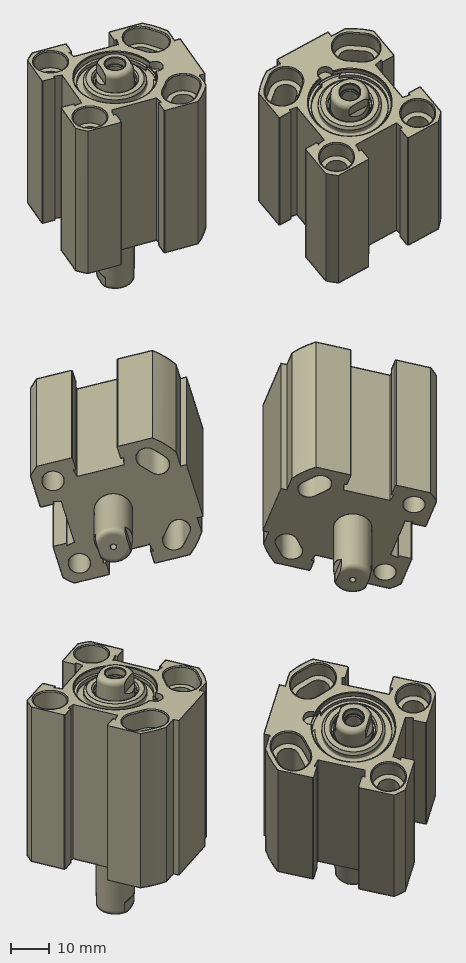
import cadquery as cq
import math

housing_height = 47.0
housing_width = 36.0
housing_depth = 40.0
shoulder_y = 20.4
corner_diameter = 47.65

pad_width = 16.0

slot_floor = 12.3
slot_lip = 14.35
slot_mouth = 6.0
slot_root = 6.3
slot_neck = 6.75
lip_chamfer = 0.2

hole_offset = 12.7
bolt_diameter = 5.8
bolt_recess_diameter = 8.8
bolt_recess_depth = 5.5
edge_chamfer = 0.3
slot_end_angle = 56.3

bore_diameter = 21.6
bore_chamfer = 0.2
ring_top_depth = 1.6
ring_thickness = 1.0
ring_groove_diameter = 22.8
ring_inner_diameter = 20.0
ring_gap_half_angle = 15.0
ring_gap_tilt = 2.4
ring_end_flare = 62.0
pocket_diameter = 4.1
pocket_offset = 11.35
pocket_depth = 2.4

gland_thickness = 7.1
boss_diameter = 16.5
boss_depth = 0.35
boss_chamfer = 0.675
boss_base_fillet = 0.35
gland_recess_diameter = 11.4
gland_recess_depth = 2.85
gland_recess_chamfer = 0.4

seal_depth = 1.4
seal_lip_diameter = 10.5
seal_lip_depth = 0.35

rod_diameter = 10.0
rod_top_projection = 4.5
rod_length = 71.0
rod_end_fillet = 1.35
flat_width = 8.0
flat_length = 3.5
socket_diameter = 5.25
socket_depth = 2.1
socket_chamfer = 0.2
tap_diameter = 4.1
tap_chamfer = 0.3
tap_depth = 9.95
vent_diameter = 1.6
drill_point_half_angle = 59.0

housing_half_width = housing_width / 2
pad_y = housing_depth - housing_half_width
ring_top = housing_height - ring_top_depth
gland_face = ring_top - ring_thickness
pocket_floor = housing_height - pocket_depth
gland_bottom = gland_face - gland_thickness
boss_top = housing_height - boss_depth
rod_top = housing_height + rod_top_projection
rod_bottom = rod_top - rod_length
hole_circle_radius = hole_offset * math.sqrt(2)


def cylinder(diameter, bottom, top, x=0.0, y=0.0):
    return cq.Workplane("XY", origin=(x, y, bottom)).circle(diameter / 2).extrude(top - bottom)


def revolved(profile):
    """Turn a closed (radius, z) profile around the Z axis."""
    return cq.Workplane("XZ").polyline(profile).close().revolve(360, (0, 0, 0), (0, 1, 0))


def chamfer_cone(diameter, size, top, x=0.0, y=0.0):
    """Cone that breaks the upper edge of a hole at 45 degrees."""
    radius = diameter / 2
    cone = revolved([(0, top - size), (radius, top - size), (radius + size, top), (0, top)])
    return cone.translate((x, y, 0))


def side_slot(turn):
    """T-slot along Z in the -Y face, turned around Z to another face."""
    outside = housing_half_width
    half = [
        (slot_root, -slot_floor),
        (slot_neck, -slot_lip),
        (slot_mouth, -slot_lip),
        (slot_mouth, -outside + lip_chamfer),
        (slot_mouth + lip_chamfer, -outside),
    ]
    other_half = [(-x, y) for x, y in reversed(half)]
    slot = cq.Workplane("XY").polyline(half + other_half).close().extrude(housing_height)
    return slot.rotate((0, 0, 0), (0, 0, 1), turn)


def housing_block():
    depth = housing_half_width + shoulder_y
    block = cq.Workplane("XY").box(housing_width, depth, housing_height, centered=(True, False, False))
    block = block.translate((0, -housing_half_width, 0))
    block = block.intersect(cylinder(corner_diameter, 0, housing_height))
    pad = cq.Workplane("XY").box(pad_width, pad_y, housing_height, centered=(True, False, False))
    return block.union(pad)


def round_bolt_hole(side):
    x = side * hole_offset
    y = -hole_offset
    top = housing_height
    return (
        cylinder(bolt_diameter, 0, top, x, y)
        .union(cylinder(bolt_recess_diameter, top - bolt_recess_depth, top, x, y))
        .union(chamfer_cone(bolt_recess_diameter, edge_chamfer, top, x, y))
    )


def obround(diameter, ends, bottom):
    (x1, y1), (x2, y2) = ends
    length = math.hypot(x2 - x1, y2 - y1)
    angle = math.degrees(math.atan2(y2 - y1, x2 - x1))
    middle = ((x1 + x2) / 2, (y1 + y2) / 2, bottom)
    shape = cq.Workplane("XY", origin=middle).slot2D(length + diameter, diameter, angle)
    return shape.extrude(housing_height - bottom)


def long_bolt_hole(side):
    end_angle = math.radians(slot_end_angle)
    outer_end = (side * hole_offset, hole_offset)
    inner_end = (
        side * hole_circle_radius * math.cos(end_angle),
        hole_circle_radius * math.sin(end_angle),
    )
    ends = (outer_end, inner_end)
    recess = obround(bolt_recess_diameter, ends, housing_height - bolt_recess_depth)
    mouth = obround(bolt_recess_diameter, ends, housing_height - edge_chamfer)
    mouth = mouth.faces("<Z").wires().toPending().extrude(edge_chamfer, taper=-45)
    return obround(bolt_diameter, ends, 0).union(recess).union(mouth)


def make_housing():
    body = housing_block()
    for turn in (0, 90, -90):
        body = body.cut(side_slot(turn))
    for side in (-1, 1):
        body = body.cut(round_bolt_hole(side)).cut(long_bolt_hole(side))
    body = body.cut(cylinder(pocket_diameter, pocket_floor, housing_height, 0, pocket_offset))
    body = body.cut(cylinder(bore_diameter, gland_bottom, housing_height))
    body = body.cut(chamfer_cone(bore_diameter, bore_chamfer, housing_height))
    body = body.cut(cylinder(ring_groove_diameter, gland_face, ring_top))
    return body.cut(cylinder(rod_diameter, 0, housing_height))


def make_gland():
    """Flanged bush that fills the bore around the rod and carries the seal."""
    inner = rod_diameter / 2
    recess = gland_recess_diameter / 2
    boss = boss_diameter / 2
    profile = (
        cq.Workplane("XZ")
        .moveTo(inner, gland_bottom)
        .lineTo(bore_diameter / 2, gland_bottom)
        .lineTo(bore_diameter / 2, gland_face)
        .lineTo(boss + boss_base_fillet, gland_face)
        .radiusArc((boss, gland_face + boss_base_fillet), boss_base_fillet)
        .lineTo(boss, boss_top - boss_chamfer)
        .lineTo(boss - boss_chamfer, boss_top)
        .lineTo(recess + gland_recess_chamfer, boss_top)
        .lineTo(recess, boss_top - gland_recess_chamfer)
        .lineTo(recess, boss_top - gland_recess_depth)
        .lineTo(inner, boss_top - gland_recess_depth)
        .close()
    )
    return profile.revolve(360, (0, 0, 0), (0, 1, 0))


def make_seal():
    """Ring around the rod, with its top edge relieved next to the rod."""
    seal_bottom = boss_top - gland_recess_depth
    seal_top = boss_top - seal_depth
    seal = cylinder(gland_recess_diameter, seal_bottom, seal_top)
    seal = seal.cut(cylinder(seal_lip_diameter, seal_top - seal_lip_depth, seal_top))
    return seal.cut(cylinder(rod_diameter, seal_bottom, seal_top))


def make_snap_ring():
    """Open ring in its groove, with ends that flare away from the gap."""
    ring = cylinder(ring_groove_diameter, gland_face, ring_top)
    ring = ring.cut(cylinder(ring_inner_diameter, gland_face, ring_top))
    half_angle = math.radians(ring_gap_half_angle)
    flare = math.radians(ring_end_flare)
    end_x = ring_inner_diameter / 2 * math.sin(half_angle)
    end_y = ring_inner_diameter / 2 * math.cos(half_angle)
    gap_top = ring_groove_diameter / 2
    flare_x = end_x + (gap_top - end_y) * math.tan(flare)
    outline = [
        (-end_x, 0),
        (end_x, 0),
        (end_x, end_y),
        (flare_x, gap_top),
        (-flare_x, gap_top),
        (-end_x, end_y),
    ]
    gap = cq.Workplane("XY", origin=(0, 0, gland_face)).polyline(outline).close().extrude(ring_thickness)
    return ring.cut(gap.rotate((0, 0, 0), (0, 0, 1), -ring_gap_tilt))


def make_rod():
    """Rod with wrench flats at both ends and a tapped, vented hole from the top."""
    rod = cylinder(rod_diameter, rod_bottom, rod_top).faces("<Z or >Z").edges().fillet(rod_end_fillet)
    radius = rod_diameter / 2
    half_flat = flat_width / 2
    slope = radius - half_flat
    for end, inward in ((rod_top, -1), (rod_bottom, 1)):
        shoulder = end + inward * flat_length
        for side in (-1, 1):
            outline = [
                (side * half_flat, end),
                (side * half_flat, shoulder),
                (side * radius, shoulder + inward * slope),
                (side * radius, end),
            ]
            rod = rod.cut(cq.Workplane("YZ").polyline(outline).close().extrude(radius, both=True))
    socket_floor = rod_top - socket_depth
    tap = tap_diameter / 2
    socket = socket_diameter / 2
    vent = vent_diameter / 2
    tap_floor = rod_top - tap_depth
    drill_point = (tap - vent) / math.tan(math.radians(drill_point_half_angle))
    hole = revolved([
        (0, rod_bottom),
        (vent, rod_bottom),
        (vent, tap_floor - drill_point),
        (tap, tap_floor),
        (tap, socket_floor - tap_chamfer),
        (tap + tap_chamfer, socket_floor),
        (socket, socket_floor),
        (socket, rod_top - socket_chamfer),
        (socket + socket_chamfer, rod_top),
        (0, rod_top),
    ])
    return rod.cut(hole)


housing = make_housing()
gland = make_gland()
seal = make_seal()
snap_ring = make_snap_ring()
rod = make_rod()

result = cq.Compound.makeCompound([housing.val(), gland.val(), seal.val(), snap_ring.val(), rod.val()])